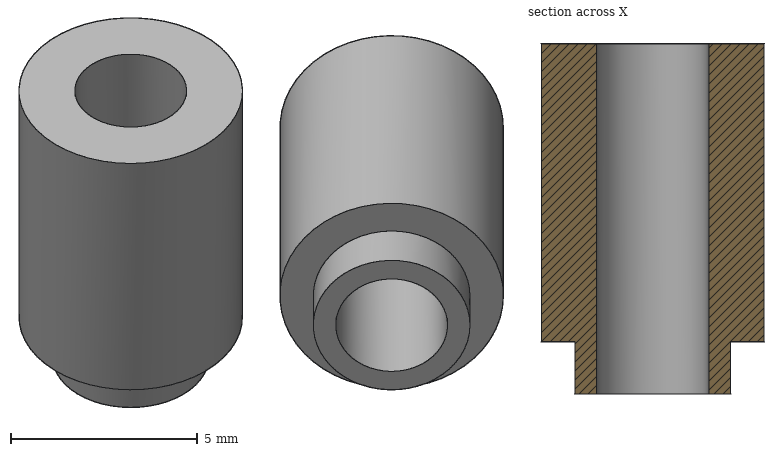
import cadquery as cq

total_height = 9.4
spigot_height = 1.4
body_height = total_height - spigot_height
body_diameter = 6.0
spigot_diameter = 4.2
bore_diameter = body_diameter / 2

spigot = cq.Workplane("XY").circle(spigot_diameter / 2).extrude(spigot_height)
body = (
    cq.Workplane("XY")
    .workplane(offset=spigot_height)
    .circle(body_diameter / 2)
    .extrude(body_height)
)

bore = cq.Workplane("XY").circle(bore_diameter / 2).extrude(total_height)

result = spigot.union(body).cut(bore)